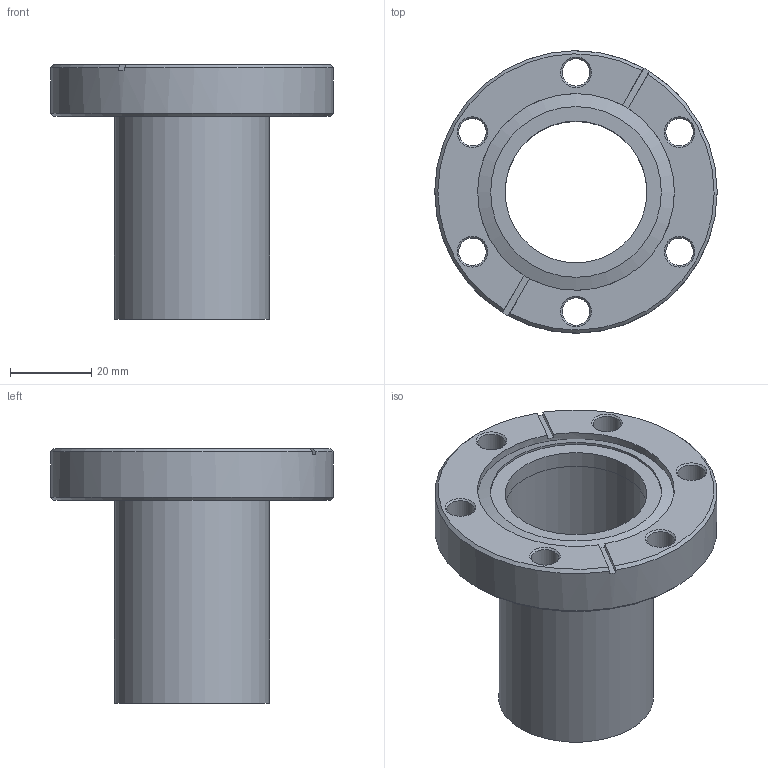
import math
import cadquery as cq

overall_length = 62.48
flange_diameter = 69.34
flange_thickness = 12.7
flange_chamfer = 0.762

tube_diameter = 38.1
tube_wall = 1.65
tube_bore = tube_diameter - 2 * tube_wall

recess_diameter = 48.3
recess_depth = 1.83
knife_diameter = 41.91
knife_slope = 20
knife_floor_depth = 1.25

tube_end_depth = 5.3

bolt_count = 6
bolt_circle_diameter = 58.7
bolt_hole_diameter = 6.73
bolt_hole_chamfer = 0.4

groove_width = 1.6
groove_inner_depth = 1.0
groove_rim_depth = 1.5
groove_overrun = 1.0
groove_angle = 60

flange_top = overall_length
flange_bottom = flange_top - flange_thickness
tube_top = flange_top - tube_end_depth
recess_edge_height = flange_top - recess_depth
knife_run = (recess_diameter - knife_diameter) / 2
knife_tip_height = recess_edge_height + knife_run * math.tan(math.radians(knife_slope))
knife_floor_height = flange_top - knife_floor_depth


def make_flange():
    """Revolved flange with a stepped bore, bolt holes and leak-check grooves."""
    outer_radius = flange_diameter / 2
    recess_radius = recess_diameter / 2
    knife_radius = knife_diameter / 2
    bore_radius = tube_bore / 2
    socket_radius = tube_diameter / 2
    body = (
        cq.Workplane("XZ")
        .moveTo(socket_radius, flange_bottom)
        .lineTo(outer_radius - flange_chamfer, flange_bottom)
        .lineTo(outer_radius, flange_bottom + flange_chamfer)
        .lineTo(outer_radius, flange_top - flange_chamfer)
        .lineTo(outer_radius - flange_chamfer, flange_top)
        .lineTo(recess_radius, flange_top)
        .lineTo(recess_radius, recess_edge_height)
        .lineTo(knife_radius, knife_tip_height)
        .lineTo(knife_radius, knife_floor_height)
        .lineTo(bore_radius, knife_floor_height)
        .lineTo(bore_radius, tube_top)
        .lineTo(socket_radius, tube_top)
        .close()
        .revolve(360, (0, 0, 0), (0, 1, 0))
    )
    return body.cut(bolt_holes()).cut(leak_grooves())


def bolt_holes():
    """Cutter for the ring of through holes, chamfered at the sealing face."""
    hole_radius = bolt_hole_diameter / 2
    mouth_radius = hole_radius + bolt_hole_chamfer
    hole = (
        cq.Workplane("XZ")
        .moveTo(0, flange_bottom)
        .lineTo(hole_radius, flange_bottom)
        .lineTo(hole_radius, flange_top - bolt_hole_chamfer)
        .lineTo(mouth_radius, flange_top)
        .lineTo(0, flange_top)
        .close()
        .revolve(360, (0, 0, 0), (0, 1, 0))
        .translate((0, bolt_circle_diameter / 2, 0))
    )
    cutter = cq.Workplane("XY")
    for index in range(bolt_count):
        cutter = cutter.add(hole.rotate((0, 0, 0), (0, 0, 1), index * 360 / bolt_count))
    return cutter.combine()


def leak_grooves():
    """Cutter for two opposite radial grooves from the recess to the rim, deepening outward."""
    recess_radius = recess_diameter / 2
    rim_radius = flange_diameter / 2
    floor_slope = (groove_rim_depth - groove_inner_depth) / (rim_radius - recess_radius)
    inner_end = recess_radius - groove_overrun
    outer_end = rim_radius + groove_overrun
    groove = (
        cq.Workplane("XZ")
        .moveTo(inner_end, flange_top)
        .lineTo(inner_end, flange_top - groove_inner_depth + floor_slope * groove_overrun)
        .lineTo(outer_end, flange_top - groove_rim_depth - floor_slope * groove_overrun)
        .lineTo(outer_end, flange_top)
        .close()
        .extrude(groove_width / 2, both=True)
    )
    cutter = cq.Workplane("XY")
    for angle in (groove_angle, groove_angle + 180):
        cutter = cutter.add(groove.rotate((0, 0, 0), (0, 0, 1), angle))
    return cutter.combine()


def make_tube():
    """Straight tube seated in the socket under the flange."""
    return cq.Workplane("XY").circle(tube_diameter / 2).circle(tube_bore / 2).extrude(tube_top)


flange = make_flange()
tube = make_tube()

result = cq.Compound.makeCompound([flange.val(), tube.val()])